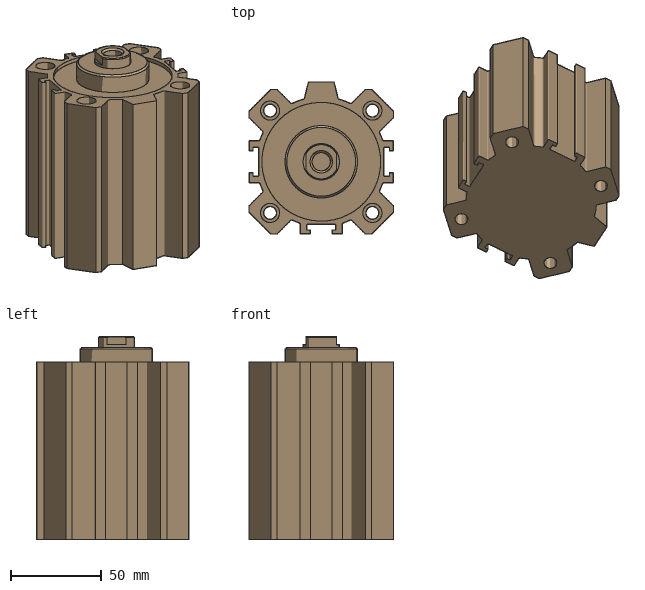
import cadquery as cq
import math

HOUSING_HEIGHT = 98.0
HALF_WIDTH = 40.0
BARREL_RADIUS = 36.0

ARM_WIDTH = 22.0
ARM_TIP_FLAT = 3.4
ARM_ROOT_FILLET = 1.0

BOLT_OFFSET = 28.2
BOLT_DIAMETER = 7.0
COUNTERBORE_DIAMETER = 10.5
COUNTERBORE_DEPTH = 6.5

RAIL_REACH = 39.8
RAIL_HALF_WIDTH = 11.6
SLOT_HALF_WIDTH = 8.0
SLOT_MOUTH_HALF_WIDTH = 5.9
SLOT_FLOOR = 34.6
LIP_THICKNESS = 2.1
RAIL_ROOT_FILLET = 0.8
RAIL_EDGE_FILLET = 0.3

RIB_REACH = 44.0
RIB_TOP_WIDTH = 14.2
RIB_ROOT_WIDTH = 18.8

RECESS_DIAMETER = 65.5
RECESS_DEPTH = 2.0
COLLAR_DIAMETER = 40.0
COLLAR_TOP = 106.1
COLLAR_CHAMFER = 1.0

ROD_DIAMETER = 20.0
ROD_TOP = 112.0
ROD_BOTTOM = 78.4
ROD_CHAMFER = 0.6
FLATS_WIDTH = 17.0
FLATS_BOTTOM = 107.5
ROD_HOLE_DIAMETER = 10.1
ROD_HOLE_DEPTH = 20.2
ROD_HOLE_CHAMFER = 1.1


def cylinder(diameter, bottom, top):
    return cq.Workplane("XY").workplane(offset=bottom).circle(diameter / 2).extrude(top - bottom)


def housing_prism(points):
    return cq.Workplane("XY").polyline(points).close().extrude(HOUSING_HEIGHT)


def arm_bar(angle):
    """Full diagonal bar whose two ends are opposite corner arms."""
    tip_inner = HALF_WIDTH - ARM_WIDTH / math.sqrt(2)
    tip_distance = (tip_inner + ARM_TIP_FLAT + HALF_WIDTH) / math.sqrt(2)
    bar = cq.Workplane("XY").rect(2 * tip_distance, ARM_WIDTH).extrude(HOUSING_HEIGHT)
    return bar.rotate((0, 0, 0), (0, 0, 1), angle)


def fillet_barrel_root(body, angle, radius):
    """Round the vertical edge on the barrel surface at the given polar angle in degrees."""
    turn = math.radians(angle)
    root = (BARREL_RADIUS * math.cos(turn), BARREL_RADIUS * math.sin(turn), HOUSING_HEIGHT / 2)
    edge = body.edges("|Z").edges(cq.selectors.NearestToPointSelector(root))
    return edge.fillet(radius)


def barrel_with_arms():
    body = cylinder(2 * BARREL_RADIUS, 0, HOUSING_HEIGHT).union(arm_bar(45)).union(arm_bar(-45))
    half_angle = math.degrees(math.asin(ARM_WIDTH / 2 / BARREL_RADIUS))
    for arm_angle in (45, 135, 225, 315):
        for side in (-1, 1):
            body = fillet_barrel_root(body, arm_angle + side * half_angle, ARM_ROOT_FILLET)
    square = cq.Workplane("XY").rect(2 * HALF_WIDTH, 2 * HALF_WIDTH).extrude(HOUSING_HEIGHT)
    return body.intersect(square)


def rail_block():
    """Solid rail on +X with rounded outer edges."""
    block = housing_prism([
        (0, -RAIL_HALF_WIDTH),
        (RAIL_REACH, -RAIL_HALF_WIDTH),
        (RAIL_REACH, RAIL_HALF_WIDTH),
        (0, RAIL_HALF_WIDTH),
    ])
    return block.edges("|Z and >X").fillet(RAIL_EDGE_FILLET)


def rail_slot():
    """T-slot cut into the rail on +X."""
    lip_inside = RAIL_REACH - LIP_THICKNESS
    slot = housing_prism([
        (SLOT_FLOOR, -SLOT_HALF_WIDTH),
        (lip_inside, -SLOT_HALF_WIDTH),
        (lip_inside, -SLOT_MOUTH_HALF_WIDTH),
        (RAIL_REACH, -SLOT_MOUTH_HALF_WIDTH),
        (RAIL_REACH, SLOT_MOUTH_HALF_WIDTH),
        (lip_inside, SLOT_MOUTH_HALF_WIDTH),
        (lip_inside, SLOT_HALF_WIDTH),
        (SLOT_FLOOR, SLOT_HALF_WIDTH),
    ])
    return slot.edges("|Z and <X").fillet(RAIL_EDGE_FILLET)


def add_rail(housing, angle):
    """Add one slotted rail, turned from +X to its side of the housing."""
    axis = ((0, 0, 0), (0, 0, 1))
    housing = housing.union(rail_block().rotate(*axis, angle))
    half_angle = math.degrees(math.asin(RAIL_HALF_WIDTH / BARREL_RADIUS))
    for side in (-1, 1):
        housing = fillet_barrel_root(housing, angle + side * half_angle, RAIL_ROOT_FILLET)
    housing = housing.cut(rail_slot().rotate(*axis, angle))

    turn = math.radians(angle)
    for side in (-SLOT_MOUTH_HALF_WIDTH, SLOT_MOUTH_HALF_WIDTH):
        x = RAIL_REACH * math.cos(turn) - side * math.sin(turn)
        y = RAIL_REACH * math.sin(turn) + side * math.cos(turn)
        mouth_edge = cq.selectors.NearestToPointSelector((x, y, HOUSING_HEIGHT / 2))
        housing = housing.edges("|Z").edges(mouth_edge).fillet(RAIL_EDGE_FILLET)
    return housing


def key_rib():
    """Tapered rib on +Y; its flanks meet the barrel at the root width."""
    root_y = math.sqrt(BARREL_RADIUS**2 - (RIB_ROOT_WIDTH / 2) ** 2)
    return housing_prism([
        (-RIB_ROOT_WIDTH / 2, 0),
        (RIB_ROOT_WIDTH / 2, 0),
        (RIB_ROOT_WIDTH / 2, root_y),
        (RIB_TOP_WIDTH / 2, RIB_REACH),
        (-RIB_TOP_WIDTH / 2, RIB_REACH),
        (-RIB_ROOT_WIDTH / 2, root_y),
    ])


def make_housing():
    housing = barrel_with_arms().union(key_rib())
    for angle in (0, 180, 270):
        housing = add_rail(housing, angle)

    recess_floor = HOUSING_HEIGHT - RECESS_DEPTH
    housing = housing.cut(cylinder(RECESS_DIAMETER, recess_floor, HOUSING_HEIGHT))
    collar = cylinder(COLLAR_DIAMETER, recess_floor, COLLAR_TOP).faces(">Z").chamfer(COLLAR_CHAMFER)
    housing = housing.union(collar)

    bolt_hole = cylinder(BOLT_DIAMETER, 0, HOUSING_HEIGHT).union(
        cylinder(COUNTERBORE_DIAMETER, HOUSING_HEIGHT - COUNTERBORE_DEPTH, HOUSING_HEIGHT)
    )
    for x in (-BOLT_OFFSET, BOLT_OFFSET):
        for y in (-BOLT_OFFSET, BOLT_OFFSET):
            housing = housing.cut(bolt_hole.translate((x, y, 0)))

    return housing.cut(cylinder(ROD_DIAMETER, ROD_BOTTOM, COLLAR_TOP))


def make_rod():
    rod = cylinder(ROD_DIAMETER, ROD_BOTTOM, ROD_TOP).faces(">Z").chamfer(ROD_CHAMFER)

    flats_height = ROD_TOP - FLATS_BOTTOM
    flat_depth = (ROD_DIAMETER - FLATS_WIDTH) / 2
    for side in (-1, 1):
        flat_center_x = side * (FLATS_WIDTH + flat_depth) / 2
        flat_plane = cq.Workplane("XY").workplane(offset=FLATS_BOTTOM).center(flat_center_x, 0)
        rod = rod.cut(flat_plane.rect(flat_depth, ROD_DIAMETER).extrude(flats_height))

    rod = rod.cut(cylinder(ROD_HOLE_DIAMETER, ROD_TOP - ROD_HOLE_DEPTH, ROD_TOP))
    mouth_edge = cq.selectors.RadiusNthSelector(0)
    return rod.faces(">Z").edges("%CIRCLE").edges(mouth_edge).chamfer(ROD_HOLE_CHAMFER)


housing = make_housing()
rod = make_rod()
result = cq.Compound.makeCompound([housing.val(), rod.val()])